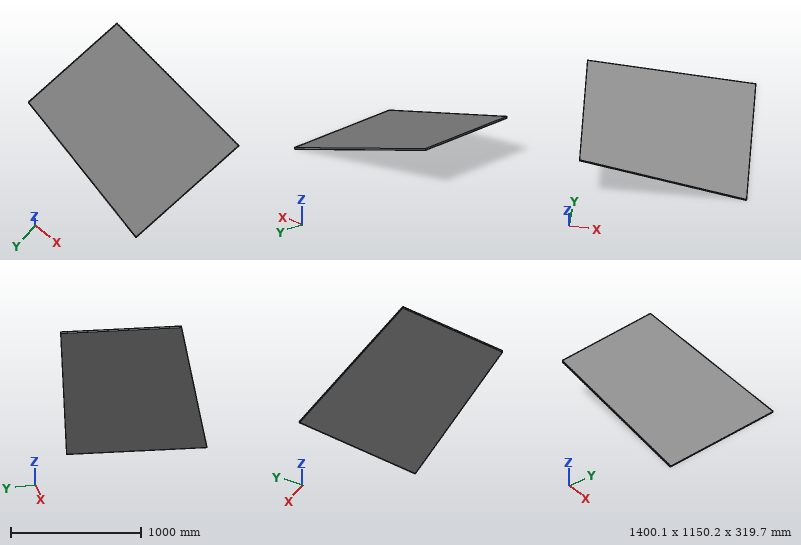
import cadquery as cq
import math

thickness = 15.0
pitch = 13.32
yaw = 6.662

run = 1327.7
high_edge = 931.5
low_edge = 1082.3
front_flare = 75.4
back_flare = low_edge - high_edge - front_flare

end_setback = thickness * math.tan(math.radians(pitch))


def top_plane():
    """Plane of the top face: its X axis runs down the slope and its Y axis is level."""
    turn = math.radians(yaw)
    dip = math.radians(pitch)
    down_slope = (math.cos(turn) * math.cos(dip), math.sin(turn) * math.cos(dip), -math.sin(dip))
    normal = (math.cos(turn) * math.sin(dip), math.sin(turn) * math.sin(dip), math.cos(dip))
    return cq.Plane(origin=(0, 0, 0), xDir=down_slope, normal=normal)


def outline(start, end):
    """Corners of the trapezoid cut off between two distances down the slope."""
    def front(distance):
        return -front_flare * distance / run

    def back(distance):
        return high_edge + back_flare * distance / run

    return [
        (start, front(start)),
        (end, front(end)),
        (end, back(end)),
        (start, back(start)),
    ]


def panel():
    """Solid between the top outline and the shorter underside outline."""
    top = cq.Workplane(top_plane()).polyline(outline(0, run)).close()
    underside = top.workplane(offset=-thickness).polyline(outline(end_setback, run - end_setback)).close()
    return underside.loft(ruled=True)


result = panel()